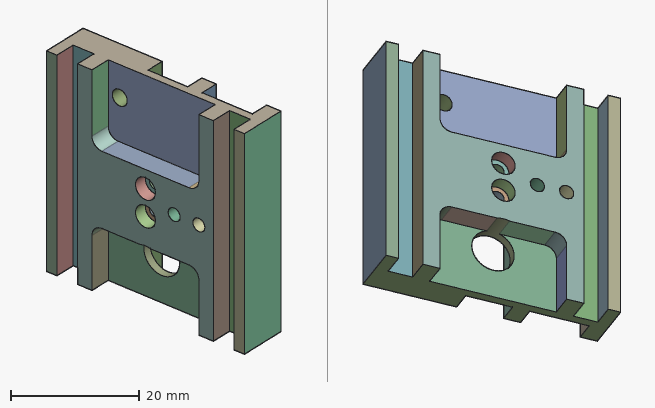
import cadquery as cq

side = 40.0
depth = 9.0

front_cut_depth = 4.0
slot_width = 4.15
slot_center_x = 15.8
pocket_width = 21.6
pocket_corner_radius = 2.0
upper_pocket_height = 14.0
lower_pocket_height = 12.0

back_cut_depth = 3.5
block_width = 16.0
rib_width = 2.9
middle_rib_left = 4.0

corner_hole = (-8.5, 14.0, 3.0)
large_hole = (0.0, -11.45, 7.2)
side_holes = [(5.8, 0.0, 2.4), (10.8, 0.0, 2.4)]
screw_offset_z = 2.5
screw_diameter = 2.4
counterbore_diameter = 4.0
counterbore_depth = 2.4


def box(left, right, front, back, bottom, top):
    """Box between the given limits."""
    return cq.Workplane("XY").box(
        right - left, back - front, top - bottom, centered=False
    ).translate((left, front, bottom))


def bore(x, z, diameter, length):
    """Cylinder running from the front face into the part."""
    return cq.Workplane("XZ").center(x, z).circle(diameter / 2).extrude(-length)


def pocket(bottom, top, inner_edges):
    """Front pocket, rounded at its inner corners and open at the plate edge."""
    half_width = pocket_width / 2
    blank = box(-half_width, half_width, 0, front_cut_depth, bottom, top)
    return blank.faces(inner_edges).edges("|Y").fillet(pocket_corner_radius)


half = side / 2
result = box(-half, half, 0, depth, -half, half)

for center_x in (-slot_center_x, slot_center_x):
    left = center_x - slot_width / 2
    result = result.cut(box(left, left + slot_width, 0, front_cut_depth, -half, half))

result = result.cut(pocket(half - upper_pocket_height, half, "<Z"))
result = result.cut(pocket(-half, lower_pocket_height - half, ">Z"))

channels = [
    (block_width - half, middle_rib_left),
    (middle_rib_left + rib_width, half - rib_width),
]
for left, right in channels:
    result = result.cut(box(left, right, depth - back_cut_depth, depth, -half, half))

for x, z, diameter in [corner_hole, large_hole] + side_holes:
    result = result.cut(bore(x, z, diameter, depth))

for z in (-screw_offset_z, screw_offset_z):
    result = result.cut(bore(0, z, screw_diameter, depth))
    result = result.cut(bore(0, z, counterbore_diameter, counterbore_depth))